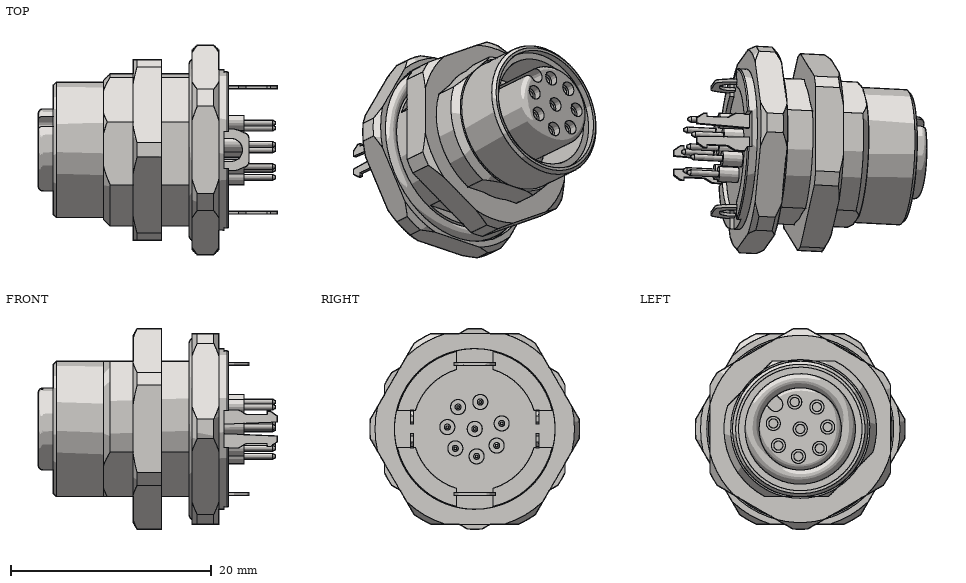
import cadquery as cq
import math

core_front = 0.0
tube_front = 1.5
tube_end = 6.5
nut_front = 9.45
nut_thickness = 2.83
flange_front = 15.3
flange_rear = 18.0
collar_rear = 18.52
ring_rear = 18.95
boss_rear = 20.5
pin_rear = 23.63
overall_length = 23.8

tube_diameter = 13.5
tube_chamfer = 0.3
mouth_diameter = 12.3
mouth_depth = 0.75
bore_diameter = 11.0
core_diameter = 8.19
core_round = 0.5
bead_diameter = (bore_diameter - core_diameter) / 2
bead_radius_from_axis = (bore_diameter + core_diameter) / 4
socket_floor = 8.57
key_width = 1.4
key_angle = 45.0
key_radius_from_axis = 3.45

contact_circle_radius = 2.74
outer_contacts = 7
key_gap_angle = 66.8
contact_step_angle = (360 - key_gap_angle) / (outer_contacts - 1)
contact_hole_diameter = 1.4
contact_hole_depth = 0.8
contact_bore_diameter = 0.9
contact_bore_depth = 4.75
boss_diameter = 1.5
pin_diameter = 0.6
pin_tip_diameter = 0.25
pin_tip_length = 0.3

shank_diameter = 15.18
shank_chamfer = 0.67
shank_across_flats = tube_diameter
skew_flat_angle = -45.0
flange_across_flats = 19.0
flange_diameter = 20.9
flange_chamfer = 0.52
nut_across_flats = 18.0
nut_diameter = 20.0
nut_face_diameter = 18.64
nut_chamfer_angle = 30.0
nut_bore_diameter = 13.8
seal_wire_diameter = 1.4
seal_standout = 0.3
seal_groove_diameter = 18.6

ring_diameter = 16.0
ring_chamfer_length = 0.15
ring_chamfer_depth = 0.07
ring_bore_diameter = 12.38
ring_notch_width = 3.67
terminal_thickness = 0.3
fork_offset = 6.24
eyelet_offset = 6.47
fork_root_half_gap = 0.48
fork_tip_half_gap = 0.7
fork_tip_half_width = 1.29
fork_shoulder_half_width = 1.9
fork_shoulder_end = 19.92
fork_neck_half_width = 1.45
fork_neck_start = 20.7
barb_half_width = 1.75
barb_start = 22.78
barb_end = 23.13
eyelet_rear = 21.0
eyelet_half_width = 2.07
eyelet_shoulder_end = 19.5
eyelet_bend = 19.87
eyelet_bend_half_width = 1.98
eyelet_end_half_width = 1.52
eyelet_corner_round = 0.6
eyelet_hole_radius = 1.15
eyelet_hole_end = 20.33


def disc(x_start, x_end, diameter, y=0.0, z=0.0):
    """Cylinder parallel to X between two stations."""
    plane = cq.Workplane("YZ", origin=(x_start, 0, 0))
    return plane.center(y, z).circle(diameter / 2).extrude(x_end - x_start)


def turned(points):
    """Solid turned about the X axis from (x, radius) points."""
    return cq.Workplane("XY").polyline(points).close().revolve(360, (0, 0, 0), (1, 0, 0))


def torus(x_center, ring_radius, wire_diameter):
    """Round wire bent into a ring about the X axis."""
    section = cq.Workplane("XY").center(x_center, ring_radius).circle(wire_diameter / 2)
    return section.revolve(360, (0, -ring_radius, 0), (1, -ring_radius, 0))


def hexagon(x_start, x_end, across_flats):
    """Hexagonal prism along X with flats facing +Z and -Z."""
    across_corners = across_flats / math.cos(math.pi / 6)
    return cq.Workplane("YZ", origin=(x_start, 0, 0)).polygon(6, across_corners).extrude(x_end - x_start)


def turn_about_x(body, angle):
    return body.rotate((0, 0, 0), (1, 0, 0), angle)


def contact_positions():
    """(y, z) of the centre contact and of the outer ones, which leave a gap at the key."""
    positions = [(0.0, 0.0)]
    for i in range(outer_contacts):
        angle = math.radians(key_angle + key_gap_angle / 2 + i * contact_step_angle)
        positions.append((contact_circle_radius * math.cos(angle), contact_circle_radius * math.sin(angle)))
    return positions


def coupling_tube():
    """Outer tube with a chamfered mouth and the step at its entrance."""
    radius = tube_diameter / 2
    tube = turned([
        (tube_front, 0),
        (tube_front, radius - tube_chamfer),
        (tube_front + tube_chamfer, radius),
        (tube_end, radius),
        (tube_end, 0),
    ])
    mouth = disc(tube_front, tube_front + mouth_depth, mouth_diameter)
    return tube.cut(mouth)


def insert_core():
    """Round-nosed core carrying the contacts, with a key slot open to its side."""
    core = disc(core_front, socket_floor, core_diameter).faces("<X").edges().fillet(core_round)
    slot_length = core_diameter / 2
    slot = disc(core_front, socket_floor, key_width, key_radius_from_axis).union(
        cq.Workplane("XY").box(socket_floor, slot_length, key_width, centered=(False, False, True))
        .translate((core_front, key_radius_from_axis, 0))
    )
    return core.cut(turn_about_x(slot, key_angle))


def shank():
    """Chamfered round shank with two pairs of parallel flats."""
    radius = shank_diameter / 2
    body = turned([
        (tube_end, 0),
        (tube_end, radius - shank_chamfer),
        (tube_end + shank_chamfer, radius),
        (flange_front, radius),
        (flange_front, 0),
    ])
    length = flange_front - tube_end
    slab = cq.Workplane("XY").box(length, 2 * shank_diameter, shank_across_flats)
    slab = slab.translate((tube_end + length / 2, 0, 0))
    return body.intersect(slab).intersect(turn_about_x(slab, skew_flat_angle))


def hex_flange():
    """Hexagonal flange with turned, chamfered corners and a seal groove around the shank."""
    radius = flange_diameter / 2
    blank = turned([
        (flange_front, 0),
        (flange_front, radius - flange_chamfer),
        (flange_front + flange_chamfer, radius),
        (flange_rear - flange_chamfer, radius),
        (flange_rear, radius - flange_chamfer),
        (flange_rear, 0),
    ])
    flange = hexagon(flange_front, flange_rear, flange_across_flats).intersect(blank)
    groove = disc(flange_front, seal_groove_floor, seal_groove_diameter)
    groove = groove.cut(disc(flange_front, seal_groove_floor, shank_diameter))
    return flange.cut(groove)


def rear_ring():
    """Collar and lightly chamfered ring behind the flange, notched at the four terminals."""
    radius = ring_diameter / 2
    ring = turned([
        (collar_rear, ring_bore_diameter / 2),
        (collar_rear, radius),
        (ring_rear - ring_chamfer_length, radius),
        (ring_rear, radius - ring_chamfer_depth),
        (ring_rear, ring_bore_diameter / 2),
    ])
    depth = ring_rear - collar_rear
    notch = cq.Workplane("XY").box(depth, ring_diameter, ring_notch_width)
    notch = notch.translate((collar_rear + depth / 2, 0, 0))
    ring = ring.cut(notch).cut(turn_about_x(notch, 90))
    return disc(flange_rear, collar_rear, ring_diameter).union(ring)


def terminal_plate(outline, offset):
    """Flat plate parallel to XY, centred at the given height above the axis."""
    return outline.extrude(terminal_thickness / 2, both=True).translate((0, 0, offset))


def fork_terminal():
    """Two barbed prongs, laid flat above the axis."""
    upper_prong = [
        (collar_rear, fork_root_half_gap),
        (collar_rear, ring_notch_width / 2),
        (ring_rear, ring_notch_width / 2),
        (ring_rear, fork_shoulder_half_width),
        (fork_shoulder_end, fork_shoulder_half_width),
        (fork_neck_start, fork_neck_half_width),
        (barb_start, fork_neck_half_width),
        (barb_start, barb_half_width),
        (barb_end, barb_half_width),
        (overall_length, fork_tip_half_width),
        (overall_length, fork_tip_half_gap),
    ]
    prong = terminal_plate(cq.Workplane("XY").polyline(upper_prong).close(), fork_offset)
    return prong.union(prong.mirror("XZ"))


def eyelet_terminal():
    """Shouldered tab with a round-ended slot, laid flat above the axis."""
    half_outline = [
        (ring_rear, ring_notch_width / 2),
        (ring_rear, eyelet_half_width),
        (eyelet_shoulder_end, eyelet_half_width),
        (eyelet_bend, eyelet_bend_half_width),
        (eyelet_rear, eyelet_end_half_width),
    ]
    other_half = [(x, -y) for x, y in reversed(half_outline)]
    root = ring_notch_width / 2
    outline = [(collar_rear, root), *half_outline, *other_half, (collar_rear, -root)]
    tab = terminal_plate(cq.Workplane("XY").polyline(outline).close(), eyelet_offset)
    tab = tab.edges("|Z").edges(">X").fillet(eyelet_corner_round)
    arch_center = eyelet_hole_end - eyelet_hole_radius
    hole = (
        cq.Workplane("XY").moveTo(collar_rear, eyelet_hole_radius)
        .lineTo(arch_center, eyelet_hole_radius)
        .threePointArc((eyelet_hole_end, 0), (arch_center, -eyelet_hole_radius))
        .lineTo(collar_rear, -eyelet_hole_radius).close()
    )
    return tab.cut(terminal_plate(hole, eyelet_offset))


def contact_tail(y, z):
    """Insulating boss and solder pin with a tapered tip."""
    boss = disc(collar_rear, boss_rear, boss_diameter, y, z)
    pin = turned([
        (boss_rear, 0),
        (boss_rear, pin_diameter / 2),
        (pin_rear - pin_tip_length, pin_diameter / 2),
        (pin_rear, pin_tip_diameter / 2),
        (pin_rear, 0),
    ])
    return boss.union(pin.translate((0, y, z)))


def contact_socket(y, z):
    """Entry hole in the core face and the narrower contact bore behind it."""
    entry_floor = core_front + contact_hole_depth
    entry = disc(core_front, entry_floor, contact_hole_diameter, y, z)
    return entry.union(disc(entry_floor, core_front + contact_bore_depth, contact_bore_diameter, y, z))


seal_center = flange_front - seal_standout + seal_wire_diameter / 2
seal_groove_floor = seal_center + seal_wire_diameter / 2
seal_ring_radius = (shank_diameter + seal_groove_diameter) / 4


def make_seal():
    """Sealing ring standing out of the flange's front face."""
    return torus(seal_center, seal_ring_radius, seal_wire_diameter)


def make_housing():
    """Shell, insert, contacts and terminals as one body."""
    socket = disc(tube_front, socket_floor, bore_diameter)
    housing = shank().union(coupling_tube()).cut(socket).union(insert_core())
    housing = housing.union(torus(socket_floor, bead_radius_from_axis, bead_diameter))
    housing = housing.union(hex_flange()).union(rear_ring())
    for side in range(2):
        housing = housing.union(turn_about_x(eyelet_terminal(), 180 * side))
        housing = housing.union(turn_about_x(fork_terminal(), 90 + 180 * side))
    for y, z in contact_positions():
        housing = housing.cut(contact_socket(y, z)).union(contact_tail(y, z))
    return housing


def make_nut():
    """Hexagonal nut, chamfered in front, bored to fit the flatted shank."""
    nut_rear = nut_front + nut_thickness
    radius = nut_diameter / 2
    face_radius = nut_face_diameter / 2
    chamfer_length = (radius - face_radius) * math.tan(math.radians(nut_chamfer_angle))
    blank = turned([
        (nut_front, 0),
        (nut_front, face_radius),
        (nut_front + chamfer_length, radius),
        (nut_rear, radius),
        (nut_rear, 0),
    ])
    nut = turn_about_x(hexagon(nut_front, nut_rear, nut_across_flats), 90).intersect(blank)
    return nut.cut(disc(nut_front, nut_rear, nut_bore_diameter)).cut(shank())


seal = make_seal()
housing = make_housing()
nut = make_nut()

result = cq.Compound.makeCompound([housing.solids().val(), nut.solids().val(), seal.val()])